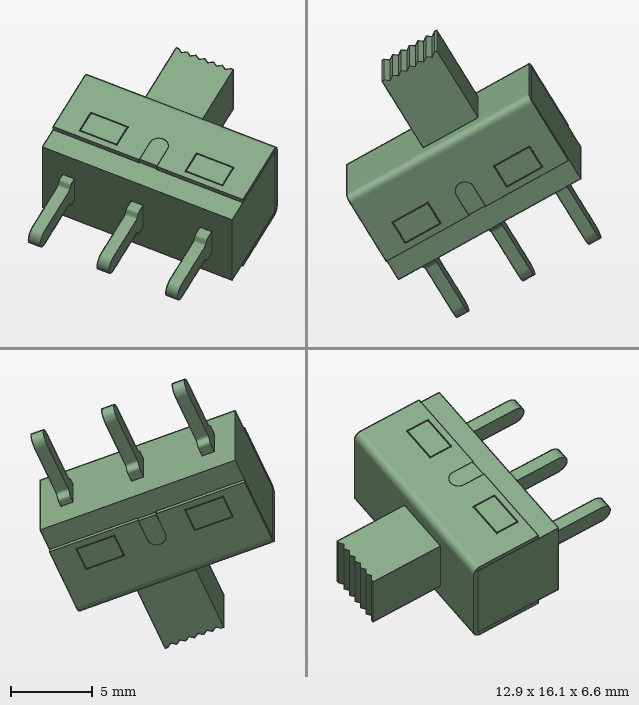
import cadquery as cq
import math


total_length = 16.1
switch_width = 12.95
frame_height = 6.6
frame_thickness = 0.3
frame_corner_radius = 0.5
base_exposed = 1.5
pin_length = 4.8

slider_length = 5.0
slider_size = 3.9
slider_offset = -0.92
groove_count = 6
groove_pitch = 0.6
groove_depth = 0.21

lug_width = 2.46
lug_length = 1.5
lug_offset = 3.6
lug_setback = 0.47
lug_clearance = 0.05

key_width = 1.19
slot_length = 2.1
key_inset = 0.05

pin_thickness = 0.8
pin_pitch = 4.69
shoulder_height = 2.11
shank_height = 1.3
pin_tip_length = 0.7
shoulder_angle = math.radians(60)
shoulder_radius = 0.21
left_shoulder_length = 0.45
other_shoulder_length = 0.66

frame_back = total_length - pin_length - slider_length
frame_front = base_exposed
base_back = frame_back - frame_thickness
base_height = frame_height - 2 * frame_thickness
lug_center_y = frame_front + lug_setback + lug_length / 2


def centered_box(width, height, y_start, y_end):
    """Block centred on X and Z that spans y_start to y_end."""
    length = y_end - y_start
    return cq.Workplane("XY").box(width, length, height).translate((0, y_start + length / 2, 0))


def window_prisms(clearance):
    """Full-height prisms with the lug outline, grown by a clearance on every side."""
    return (
        cq.Workplane("XY")
        .pushPoints([(-lug_offset, lug_center_y), (lug_offset, lug_center_y)])
        .rect(lug_width + 2 * clearance, lug_length + 2 * clearance)
        .extrude(frame_height / 2, both=True)
    )


def key_prism(front_y):
    """Full-height prism with the key outline: straight from front_y, round at the back."""
    radius = key_width / 2
    back_y = frame_front + slot_length
    return (
        cq.Workplane("XY")
        .moveTo(-radius, front_y)
        .lineTo(-radius, back_y - radius)
        .threePointArc((0, back_y), (radius, back_y - radius))
        .lineTo(radius, front_y)
        .close()
        .extrude(frame_height / 2, both=True)
    )


def make_base():
    """Solid block whose lugs and keys rise through the frame, flush with its outside."""
    block = centered_box(switch_width, base_height, 0, base_back)
    return block.union(window_prisms(0)).union(key_prism(frame_front + key_inset))


def make_frame():
    """U-shaped sheet wrapped over the top, back and bottom of the base."""
    shell = centered_box(switch_width, frame_height, frame_front, frame_back)
    shell = shell.edges(">Y and |X").fillet(frame_corner_radius)
    shell = shell.cut(centered_box(switch_width, base_height, frame_front, base_back))
    return shell.cut(window_prisms(lug_clearance)).cut(key_prism(frame_front))


def make_slider():
    """Square knob with V-grooves across its end face for grip."""
    end_y = frame_back + slider_length
    knob = centered_box(slider_size, slider_size, frame_back, end_y)
    for index in range(groove_count):
        x = (index - (groove_count - 1) / 2) * groove_pitch
        groove = (
            cq.Workplane("XY")
            .moveTo(x - groove_pitch / 2, end_y)
            .lineTo(x, end_y - groove_depth)
            .lineTo(x + groove_pitch / 2, end_y)
            .close()
            .extrude(slider_size / 2, both=True)
        )
        knob = knob.cut(groove)
    return knob.translate((slider_offset, 0, 0))


def make_pin(x, shoulder_length):
    """Flat pin: wide shoulder, tapered step with rounded corners, shank with a round tip."""
    half_shoulder = shoulder_height / 2
    half_shank = shank_height / 2
    taper_start = -shoulder_length
    taper_end = taper_start - (half_shoulder - half_shank) / math.tan(shoulder_angle)
    pin = (
        cq.Workplane("YZ")
        .moveTo(0, -half_shoulder)
        .lineTo(0, half_shoulder)
        .lineTo(taper_start, half_shoulder)
        .lineTo(taper_end, half_shank)
        .lineTo(pin_tip_length - pin_length, half_shank)
        .ellipseArc(pin_tip_length, half_shank, 90, 270, startAtCurrent=True)
        .lineTo(taper_end, -half_shank)
        .lineTo(taper_start, -half_shoulder)
        .close()
        .extrude(pin_thickness)
    )
    margin = shoulder_radius / 2
    step = cq.selectors.BoxSelector(
        (0, taper_end - margin, -shoulder_height),
        (pin_thickness, taper_start + margin, shoulder_height),
    )
    pin = pin.edges("|X").edges(step).fillet(shoulder_radius)
    return pin.translate((x - pin_thickness / 2, 0, 0))


base = make_base()
frame = make_frame()
slider = make_slider()
pins = []
for position in (-1, 0, 1):
    length = left_shoulder_length if position < 0 else other_shoulder_length
    pins.append(make_pin(position * pin_pitch, length))

result = cq.Compound.makeCompound(
    [base.val(), frame.val(), slider.val(), *[pin.val() for pin in pins]]
)